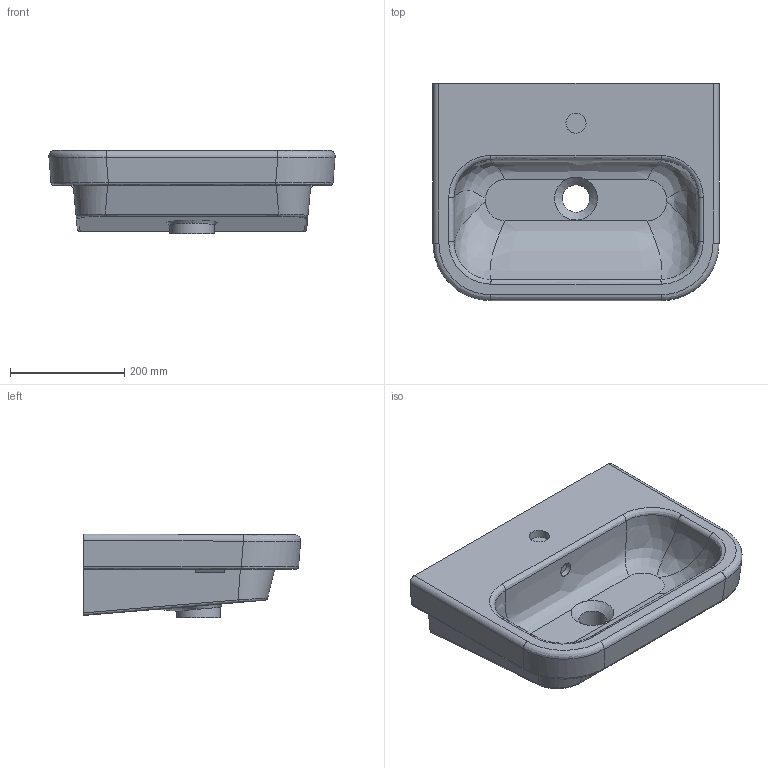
import cadquery as cq
import math

WIDTH = 499.88
DEPTH = 379.41
HEIGHT = 146.72

RIM_HEIGHT = 61.5
RIM_CORNER_RADIUS = 100.0
RIM_DRAFT = 4.5
RIM_TOP_FILLET = 10.5
RIM_BOTTOM_FILLET = 5.0
DECK_FALL = 1.5

BODY_WIDTH = 416.0
BODY_DEPTH = 335.5
BODY_CORNER_RADIUS = 61.0
BODY_CORNER_RADIUS_LOW = 46.0
BODY_FRONT_DEPTH_LOW = 314.0
BODY_WIDTH_LOW = 400.0
BODY_BACK_LEVEL = -142.3
BODY_FRONT_LEVEL = -116.0
BODY_EDGE_FILLET = 5.0

SWELLING_WIDTH = 422.0
SWELLING_FRONT = 247.0
SWELLING_BACK = 195.0
SWELLING_HEIGHT = 5.5

BOWL_WIDTH = 427.0
BOWL_BACK = 135.0
BOWL_FRONT = 346.0
BOWL_CORNER_RADIUS = 66.0
BOWL_DEPTH = 99.0
FLOOR_WIDTH = 316.0
FLOOR_BACK = 168.0
FLOOR_FRONT = 240.0
FLOOR_CORNER_RADIUS = 34.0
SIDE_WALL_POWER = 2.0
BACK_WALL_POWER = 7.0
FRONT_WALL_POWER = 1.0
BOWL_SECTIONS = 8
BOWL_LIP_FILLET = 9.0

DRAIN_Y = 201.0
DRAIN_DIAMETER = 48.0
DRAIN_SEAT_DIAMETER = 75.0
DRAIN_SEAT_DEPTH = 13.0
DRAIN_BOSS_DIAMETER = 77.0
DRAIN_FLARE_WIDTH = 92.0
DRAIN_FLARE_FRONT = 244.0
DRAIN_FLARE_BACK = 122.0
DRAIN_FLARE_HEIGHT = 6.0
DRAIN_FLARE_OVERLAP = 1.0

TAP_Y = 69.5
TAP_DIAMETER = 35.0
TAP_DEPTH = 15.0
OVERFLOW_DIAMETER = 25.0
OVERFLOW_LEVEL = -39.0
OVERFLOW_DEPTH = 10.0

MARGIN = 200.0
PICK_MARGIN = 1.0


def trim_behind_wall(shape):
    """Remove everything behind the wall face."""
    behind = cq.Workplane("XY").box(2 * WIDTH, 2 * MARGIN, 4 * HEIGHT).translate((0, MARGIN, 0))
    return shape.cut(behind)


def loft(sections, ruled=True):
    """Solid through rounded rectangles given as (width, y_front, y_back, radius, level)."""
    sketches = []
    for width, y_front, y_back, radius, level in sections:
        outline = cq.Sketch().rect(width, y_back - y_front).vertices().fillet(radius)
        centre = cq.Vector(0, (y_front + y_back) / 2, level)
        sketches.append(outline.moved(cq.Location(centre)))
    return cq.Workplane("XY").placeSketch(*sketches).loft(ruled=ruled)


FREE_EDGES = cq.selectors.InverseSelector(
    cq.selectors.BoxSelector((-WIDTH, -PICK_MARGIN, -HEIGHT), (WIDTH, PICK_MARGIN, HEIGHT))
)


def make_rim():
    """Slab with drafted sides, a slightly falling deck and rounded edges."""
    slope = math.radians(RIM_DRAFT)
    trim = RIM_TOP_FILLET * (math.tan(slope) + 1 / math.cos(slope) - 1)
    inset = RIM_HEIGHT * math.tan(slope)
    top_width = WIDTH + 2 * trim
    top_front = -DEPTH - trim - DECK_FALL * math.tan(slope)
    top = (top_width, top_front, MARGIN, RIM_CORNER_RADIUS, 0)
    bottom = (top_width - 2 * inset, top_front + inset, MARGIN, RIM_CORNER_RADIUS, -RIM_HEIGHT)
    rim = trim_behind_wall(loft([bottom, top]))
    above_deck = (
        cq.Workplane("YZ")
        .polyline([(0, 0), (-2 * DEPTH, -2 * DECK_FALL), (-2 * DEPTH, MARGIN), (0, MARGIN)])
        .close()
        .extrude(WIDTH, both=True)
    )
    rim = rim.cut(above_deck)
    rim = rim.faces(">Z").edges(FREE_EDGES).fillet(RIM_TOP_FILLET)
    return rim.faces("<Z").edges(FREE_EDGES).fillet(RIM_BOTTOM_FILLET)


def make_side_swellings():
    """Bar across the body whose ends stand proud of both sides and fade out downwards."""
    bottom_level = -RIM_HEIGHT - SWELLING_HEIGHT
    side_lean = (BODY_WIDTH - BODY_WIDTH_LOW) / 2 / (-RIM_HEIGHT - BODY_BACK_LEVEL)
    bottom_width = BODY_WIDTH - 2 * side_lean * SWELLING_HEIGHT
    half_top = SWELLING_WIDTH / 2
    half_bottom = bottom_width / 2
    top_level = -RIM_HEIGHT + RIM_BOTTOM_FILLET
    return (
        cq.Workplane("XZ", origin=(0, -SWELLING_BACK, 0))
        .polyline([
            (-half_top, top_level),
            (half_top, top_level),
            (half_top, -RIM_HEIGHT),
            (half_bottom, bottom_level),
            (-half_bottom, bottom_level),
            (-half_top, -RIM_HEIGHT),
        ])
        .close()
        .extrude(SWELLING_FRONT - SWELLING_BACK)
    )


def underside_level(distance):
    """Level of the sloping underside at a distance in front of the wall."""
    rise = (BODY_FRONT_LEVEL - BODY_BACK_LEVEL) / BODY_FRONT_DEPTH_LOW
    return BODY_BACK_LEVEL + rise * distance


def make_underbody():
    """Tapered body below the rim; its underside rises towards the front."""
    upper = (BODY_WIDTH, -BODY_DEPTH, MARGIN, BODY_CORNER_RADIUS, -RIM_HEIGHT + RIM_BOTTOM_FILLET)
    lower = (BODY_WIDTH_LOW, -BODY_FRONT_DEPTH_LOW, MARGIN, BODY_CORNER_RADIUS_LOW, BODY_BACK_LEVEL)
    body = trim_behind_wall(loft([lower, upper]))
    below = (
        cq.Workplane("YZ")
        .polyline([
            (0, BODY_BACK_LEVEL),
            (-DEPTH, underside_level(DEPTH)),
            (-DEPTH, -2 * HEIGHT),
            (0, -2 * HEIGHT),
        ])
        .close()
        .extrude(WIDTH, both=True)
    )
    body = body.cut(below)
    return body.faces("<Z").edges(FREE_EDGES).fillet(BODY_EDGE_FILLET)


def make_drain_boss():
    """Outlet spigot with a flare that runs into the sloping underside."""
    boss = (
        cq.Workplane("XY", origin=(0, -DRAIN_Y, -HEIGHT))
        .circle(DRAIN_BOSS_DIAMETER / 2)
        .extrude(HEIGHT - BOWL_DEPTH - DRAIN_SEAT_DEPTH)
    )
    length = DRAIN_FLARE_FRONT - DRAIN_FLARE_BACK
    centre_y = (DRAIN_FLARE_FRONT + DRAIN_FLARE_BACK) / 2
    rise = underside_level(DRAIN_FLARE_FRONT) - underside_level(DRAIN_FLARE_BACK)
    normal = cq.Vector(0, rise, length)
    along_slope = cq.Vector(0, -length, rise)
    top_centre = cq.Vector(0, -centre_y, underside_level(centre_y) + DRAIN_FLARE_OVERLAP)
    top = cq.Wire.makeEllipse(length / 2, DRAIN_FLARE_WIDTH / 2, top_centre, normal, along_slope)
    bottom_centre = cq.Vector(0, -DRAIN_Y, underside_level(DRAIN_Y) - DRAIN_FLARE_HEIGHT)
    bottom = cq.Wire.makeCircle(DRAIN_BOSS_DIAMETER / 2, bottom_centre, normal)
    return boss.union(cq.Workplane(cq.Solid.makeLoft([bottom, top], True)))


def bowl_inset(total, power, fraction):
    """Distance a bowl wall has moved inwards at a fraction of the bowl depth."""
    return total * (1 - math.sqrt(1 - fraction ** power))


def bowl_section(fraction):
    """Rounded-rectangle section of the bowl at a fraction of its depth."""
    width = BOWL_WIDTH - bowl_inset(BOWL_WIDTH - FLOOR_WIDTH, SIDE_WALL_POWER, fraction)
    front = BOWL_FRONT - bowl_inset(BOWL_FRONT - FLOOR_FRONT, FRONT_WALL_POWER, fraction)
    back = BOWL_BACK + bowl_inset(FLOOR_BACK - BOWL_BACK, BACK_WALL_POWER, fraction)
    radius = BOWL_CORNER_RADIUS - bowl_inset(
        BOWL_CORNER_RADIUS - FLOOR_CORNER_RADIUS, FRONT_WALL_POWER, fraction
    )
    return width, -front, -back, radius, -BOWL_DEPTH * fraction


def make_bowl():
    fractions = [1 - (1 - step / BOWL_SECTIONS) ** 2 for step in range(BOWL_SECTIONS + 1)]
    return loft([bowl_section(fraction) for fraction in fractions], ruled=False)


def make_drain_hole():
    """Through hole with a conical seat sunk into the bowl floor."""
    return (
        cq.Workplane("XZ")
        .polyline([
            (0, -BOWL_DEPTH + DRAIN_SEAT_DEPTH),
            (DRAIN_SEAT_DIAMETER / 2, -BOWL_DEPTH),
            (DRAIN_DIAMETER / 2, -BOWL_DEPTH - DRAIN_SEAT_DEPTH),
            (DRAIN_DIAMETER / 2, -HEIGHT),
            (0, -HEIGHT),
        ])
        .close()
        .revolve(360, (0, 0, 0), (0, 1, 0))
        .translate((0, -DRAIN_Y, 0))
    )


def make_tap_hole():
    return (
        cq.Workplane("XY")
        .center(0, -TAP_Y)
        .circle(TAP_DIAMETER / 2)
        .extrude(-TAP_DEPTH)
    )


def make_overflow_hole():
    return (
        cq.Workplane("XZ", origin=(0, OVERFLOW_DEPTH - BOWL_BACK, 0))
        .center(0, OVERFLOW_LEVEL)
        .circle(OVERFLOW_DIAMETER / 2)
        .extrude(2 * OVERFLOW_DEPTH)
    )


def round_bowl_lip(basin):
    near_lip = cq.selectors.BoxSelector(
        (-BOWL_WIDTH / 2 - PICK_MARGIN, -BOWL_FRONT - PICK_MARGIN, -2 * DECK_FALL),
        (BOWL_WIDTH / 2 + PICK_MARGIN, -BOWL_BACK + PICK_MARGIN, PICK_MARGIN),
    )
    return basin.edges(near_lip).fillet(BOWL_LIP_FILLET)


result = make_rim().union(make_underbody()).union(make_side_swellings()).union(make_drain_boss())
result = round_bowl_lip(result.cut(make_bowl()))
result = result.cut(make_drain_hole()).cut(make_tap_hole()).cut(make_overflow_hole())